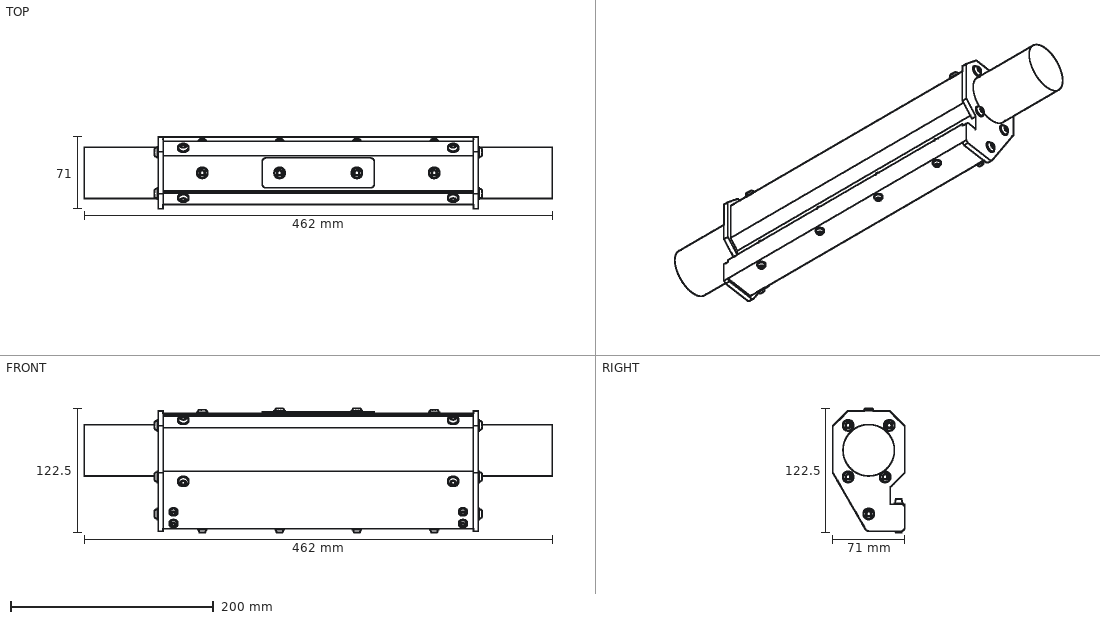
import cadquery as cq
import math

shaft_length = 462.0
shaft_diameter = 51.0

plate_outer_x = 158.0
plate_thickness = 5.0
plate_inner_x = plate_outer_x - plate_thickness
plate_half_width = 35.5
plate_top = 39.0
plate_bottom = -80.0
plate_top_chamfer = 15.0
plate_side_bottom = -22.0
slant_angle = math.radians(30)
toe_radius = 4.5

neck_y = 21.3
foot_top = -53.0
foot_chamfer = 2.5

housing_half_width = 31.5
housing_top = 36.5
housing_bottom = -77.5
housing_top_chamfer = 14.5
housing_side_bottom = -21.0
lip_inner_y = -17.5
lip_outer_y = -20.0
lip_drop = 2.0

label_length = 111.0
label_width = 29.5
label_thickness = 1.5
label_corner_radius = 4.0

LARGE_SCREW = dict(washer=11.0, head=9.5, crown=6.0, height=3.5, socket=4.5)
SMALL_SCREW = dict(washer=9.0, head=7.5, crown=5.5, height=3.5, socket=3.2)
FOOT_SCREW = dict(SMALL_SCREW, height=5.0)
washer_thickness = 1.0
socket_depth = 1.5
dome_mid_outward = 0.65
dome_mid_upward = 0.6
seating = 1.0

row_pitch = 76.0
row_x = [steps * row_pitch for steps in (-1.5, -0.5, 0.5, 1.5)]
side_screw_x = 133.0
corner_screw_x = 142.8
foot_screw_y = 29.5
slant_screw_z = -30.5
corner_screw_z = (-60.5, -72.0)
plate_screws = [(20.5, 24.5), (-20.5, 24.5), (16.0, -26.5), (-20.5, -26.5), (0, -63.0)]


def section(half_width, top, bottom, top_chamfer, side_bottom):
    """Closed Y-Z outline shared by the end plates and the housing, centred on X = 0."""
    shoulder = top - top_chamfer
    top_half = half_width - top_chamfer
    undercut_z = side_bottom - (half_width - neck_y)
    toe_y = -half_width + (side_bottom - bottom) * math.tan(slant_angle)
    outline = [
        (-top_half, top),
        (top_half, top),
        (half_width, shoulder),
        (half_width, side_bottom),
        (neck_y, undercut_z),
        (neck_y, foot_top),
        (plate_half_width, foot_top),
        (plate_half_width, bottom),
        (toe_y, bottom),
        (-half_width, side_bottom),
        (-half_width, shoulder),
    ]
    return cq.Workplane("YZ").polyline(outline).close()


def screw(kind, position, normal):
    """Screw seated on a wall at the given position and standing out along the normal."""
    washer_radius = kind["washer"] / 2
    head_radius = kind["head"] / 2
    crown_radius = kind["crown"] / 2
    height = kind["height"]
    dome_mid = (
        crown_radius + (head_radius - crown_radius) * dome_mid_outward,
        washer_thickness + (height - washer_thickness) * dome_mid_upward,
    )
    body = (
        cq.Workplane("XZ")
        .moveTo(0, -seating)
        .lineTo(washer_radius, -seating)
        .lineTo(washer_radius, washer_thickness)
        .lineTo(head_radius, washer_thickness)
        .threePointArc(dome_mid, (crown_radius, height))
        .lineTo(0, height)
        .close()
        .revolve(360, (0, 0), (0, 1))
    )
    socket = (
        cq.Workplane("XY", origin=(0, 0, height - socket_depth))
        .polygon(6, kind["socket"])
        .extrude(socket_depth)
    )
    along_wall = (1, 0, 0) if normal[0] == 0 else (0, 1, 0)
    seat = cq.Plane(origin=position, xDir=along_wall, normal=normal)
    return body.cut(socket).val().moved(cq.Location(seat))


def end_plate(start_x):
    """End plate filling X from start_x onwards, with the foot corners and the toe eased."""
    outline = section(plate_half_width, plate_top, plate_bottom, plate_top_chamfer, plate_side_bottom)
    plate = outline.extrude(plate_thickness)
    foot_corners = cq.selectors.BoxSelector(
        (-foot_chamfer, plate_half_width - foot_chamfer, plate_bottom - foot_chamfer),
        (plate_thickness + foot_chamfer, plate_half_width + foot_chamfer, foot_top + foot_chamfer),
    )
    plate = plate.edges("|X").edges(foot_corners).chamfer(foot_chamfer)
    plate = plate.faces("<Z").edges("|X and <Y").fillet(toe_radius)
    return plate.translate((start_x, 0, 0))


def box_between(y_range, z_range):
    """Bar along the full housing length filling the given Y and Z ranges."""
    y_low, y_high = y_range
    z_low, z_high = z_range
    corner = cq.Workplane("YZ", origin=(0, y_low, z_low))
    outline = corner.rect(y_high - y_low, z_high - z_low, centered=False)
    return outline.extrude(plate_inner_x, both=True)


def housing():
    """Body between the end plates, with the stepped ledge along its front top edge."""
    outline = section(
        housing_half_width, housing_top, housing_bottom, housing_top_chamfer, housing_side_bottom
    )
    body = outline.extrude(plate_inner_x, both=True)
    ledge_z = housing_top - lip_drop
    ledge_base_z = ledge_z - lip_drop
    lip = box_between((lip_outer_y, lip_inner_y), (ledge_base_z, ledge_z))
    rim = box_between((lip_inner_y, lip_inner_y + lip_drop), (ledge_base_z, housing_top))
    return body.union(lip).union(rim)


def name_plate():
    return (
        cq.Workplane("XY", origin=(0, 0, housing_top))
        .rect(label_length, label_width)
        .extrude(label_thickness)
        .edges("|Z")
        .fillet(label_corner_radius)
    )


def slant_y(z):
    """Y of the sloping front wall of the housing at height z."""
    return -housing_half_width + (housing_side_bottom - z) * math.tan(slant_angle)


def all_screws():
    screws = []

    for x in row_x:
        on_label = abs(x) < label_length / 2
        top_z = housing_top + (label_thickness if on_label else 0)
        screws.append(screw(LARGE_SCREW, (x, 0, top_z), (0, 0, 1)))
        screws.append(screw(FOOT_SCREW, (x, foot_screw_y, foot_top), (0, 0, 1)))
        screws.append(screw(SMALL_SCREW, (x, foot_screw_y, housing_bottom), (0, 0, -1)))

    chamfer_y = housing_half_width - housing_top_chamfer / 2
    chamfer_z = housing_top - housing_top_chamfer / 2
    slant_normal = (0, -math.cos(slant_angle), -math.sin(slant_angle))
    for side in (-1, 1):
        x = side * side_screw_x
        screws.append(screw(LARGE_SCREW, (x, chamfer_y, chamfer_z), (0, 1, 1)))
        screws.append(screw(LARGE_SCREW, (x, -chamfer_y, chamfer_z), (0, -1, 1)))
        screws.append(screw(LARGE_SCREW, (x, slant_y(slant_screw_z), slant_screw_z), slant_normal))
        for z in corner_screw_z:
            place = (side * corner_screw_x, slant_y(z), z)
            screws.append(screw(SMALL_SCREW, place, slant_normal))

    for side in (-1, 1):
        for y, z in plate_screws:
            screws.append(screw(LARGE_SCREW, (side * plate_outer_x, y, z), (side, 0, 0)))
    return screws


result = cq.Workplane("YZ").circle(shaft_diameter / 2).extrude(shaft_length / 2, both=True)
result = result.union(housing())
result = result.union(end_plate(-plate_outer_x))
result = result.union(end_plate(plate_inner_x))
result = result.union(name_plate())
for fastener in all_screws():
    result = result.union(cq.Workplane(fastener))